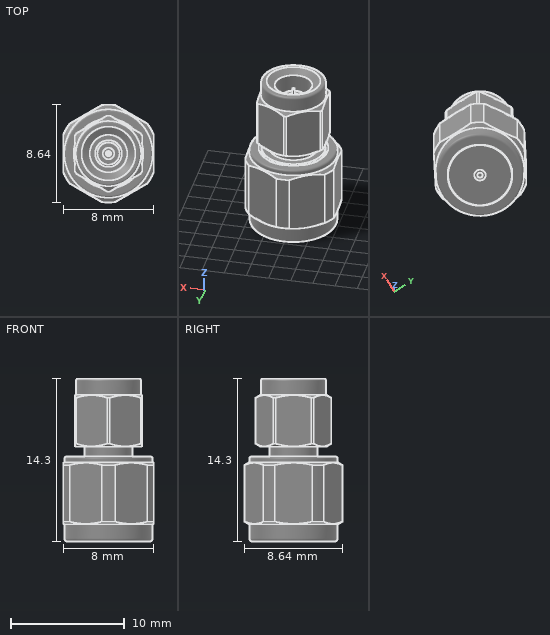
import cadquery as cq
import math

TOTAL_HEIGHT = 14.35
LARGE_NUT_TOP = 7.49

LARGE_SLEEVE_RADIUS = 3.89
LARGE_ACROSS_FLATS = 8.0
LARGE_CORNER_RADIUS = 4.32
LARGE_HEX_BOTTOM = 1.5
LARGE_HEX_TOP = 6.99
LARGE_BOTTOM_FILLET = 0.27
LARGE_BORE_RADIUS = 2.85
LARGE_BORE_CHAMFER = 0.22

SMALL_SLEEVE_RADIUS = 2.87
SMALL_ACROSS_FLATS = 5.91
SMALL_CORNER_RADIUS = 3.35
SMALL_NUT_BOTTOM = 8.34
SMALL_HEX_TOP = 12.93
SMALL_BORE_RADIUS = 1.65
MOUTH_RADIUS = 2.37
MOUTH_DEPTH = 0.42

RIM_FILLET = 0.2
HEX_SIDES = 6
HEX_HALF_ANGLE = 180 / HEX_SIDES
HEX_CHAMFER_ANGLE = 30

FLANGE_RADIUS = 2.8
NECK_RADIUS = 2.12
BOSS_TOP = 12.79
BOSS_HEIGHT = 1.0
BOSS_RADIUS = 1.18
BOSS_CHAMFER = 0.2
BODY_BORE_RADIUS = 0.5
NECK_TOP = BOSS_TOP - BOSS_HEIGHT

RECESS_DEPTH = 0.5
INSULATOR_TOP = BOSS_TOP - RECESS_DEPTH
PIN_RADIUS = 0.23
TIP_RADIUS = 0.13
TIP_LENGTH = 0.8
TIP_CHAMFER = 0.06


def cylinder(radius, bottom, top):
    """Cylinder on the Z axis between two heights."""
    return cq.Workplane("XY").workplane(offset=bottom).circle(radius).extrude(top - bottom)


def revolve_profile(points):
    """Solid of revolution about Z from (radius, height) points."""
    return cq.Workplane("XZ").polyline(points).close().revolve(360, (0, 0), (0, 1))


def hex_section(across_flats, corner_radius, end_radius, bottom, top):
    """Hexagon with rounded corners and conical chamfers at both ends; two flats face +X and -X."""
    chamfer_height = (corner_radius - end_radius) * math.tan(math.radians(HEX_CHAMFER_ANGLE))
    turned_blank = revolve_profile([
        (0, bottom),
        (end_radius, bottom),
        (corner_radius, bottom + chamfer_height),
        (corner_radius, top - chamfer_height),
        (end_radius, top),
        (0, top),
    ])
    across_corners = across_flats / math.cos(math.radians(HEX_HALF_ANGLE))
    hexagon = (
        cq.Workplane("XY")
        .workplane(offset=bottom)
        .transformed(rotate=(0, 0, HEX_HALF_ANGLE))
        .polygon(HEX_SIDES, across_corners)
        .extrude(top - bottom)
    )
    return turned_blank.intersect(hexagon)


def make_large_nut():
    """Hexagonal nut on a round sleeve, bored through, with a chamfered upper mouth."""
    sleeve = cylinder(LARGE_SLEEVE_RADIUS, 0, LARGE_NUT_TOP)
    sleeve = sleeve.faces(">Z").edges().fillet(RIM_FILLET)
    sleeve = sleeve.faces("<Z").edges().fillet(LARGE_BOTTOM_FILLET)
    hexagon = hex_section(
        LARGE_ACROSS_FLATS, LARGE_CORNER_RADIUS, LARGE_SLEEVE_RADIUS, LARGE_HEX_BOTTOM, LARGE_HEX_TOP
    )
    bore = revolve_profile([
        (0, 0),
        (LARGE_BORE_RADIUS, 0),
        (LARGE_BORE_RADIUS, LARGE_NUT_TOP - LARGE_BORE_CHAMFER),
        (LARGE_BORE_RADIUS + LARGE_BORE_CHAMFER, LARGE_NUT_TOP),
        (0, LARGE_NUT_TOP),
    ])
    return sleeve.union(hexagon).cut(bore)


def make_small_nut():
    """Hexagonal nut with a round collar, a conical mouth and a socket for the body neck."""
    collar = cylinder(SMALL_SLEEVE_RADIUS, SMALL_NUT_BOTTOM, TOTAL_HEIGHT)
    collar = collar.faces(">Z").edges().fillet(RIM_FILLET)
    hexagon = hex_section(
        SMALL_ACROSS_FLATS, SMALL_CORNER_RADIUS, SMALL_SLEEVE_RADIUS, SMALL_NUT_BOTTOM, SMALL_HEX_TOP
    )
    bore = revolve_profile([
        (0, SMALL_NUT_BOTTOM),
        (NECK_RADIUS, SMALL_NUT_BOTTOM),
        (NECK_RADIUS, NECK_TOP),
        (SMALL_BORE_RADIUS, NECK_TOP),
        (SMALL_BORE_RADIUS, TOTAL_HEIGHT - MOUTH_DEPTH),
        (MOUTH_RADIUS, TOTAL_HEIGHT),
        (0, TOTAL_HEIGHT),
    ])
    return collar.union(hexagon).cut(bore)


def make_connector_body():
    """Flange inside the large nut, neck inside the small nut, and a chamfered boss on top."""
    return revolve_profile([
        (BODY_BORE_RADIUS, 0),
        (FLANGE_RADIUS, 0),
        (FLANGE_RADIUS, LARGE_NUT_TOP),
        (NECK_RADIUS, LARGE_NUT_TOP),
        (NECK_RADIUS, NECK_TOP),
        (BOSS_RADIUS, NECK_TOP),
        (BOSS_RADIUS, BOSS_TOP - BOSS_CHAMFER),
        (BOSS_RADIUS - BOSS_CHAMFER, BOSS_TOP),
        (BODY_BORE_RADIUS, BOSS_TOP),
    ])


def make_insulator():
    """Sleeve that fills the body bore around the pin and stops below the boss face."""
    return cylinder(BODY_BORE_RADIUS, 0, INSULATOR_TOP).cut(cylinder(PIN_RADIUS, 0, INSULATOR_TOP))


def make_centre_pin():
    """Straight pin, shouldered level with the boss face, with a thinner chamfered tip."""
    shank = cylinder(PIN_RADIUS, 0, BOSS_TOP)
    tip = cylinder(TIP_RADIUS, BOSS_TOP, BOSS_TOP + TIP_LENGTH).faces(">Z").edges().chamfer(TIP_CHAMFER)
    return shank.union(tip)


large_nut = make_large_nut()
small_nut = make_small_nut()
connector_body = make_connector_body()
insulator = make_insulator()
centre_pin = make_centre_pin()

result = cq.Compound.makeCompound([
    large_nut.val(),
    small_nut.val(),
    connector_body.val(),
    insulator.val(),
    centre_pin.val(),
])